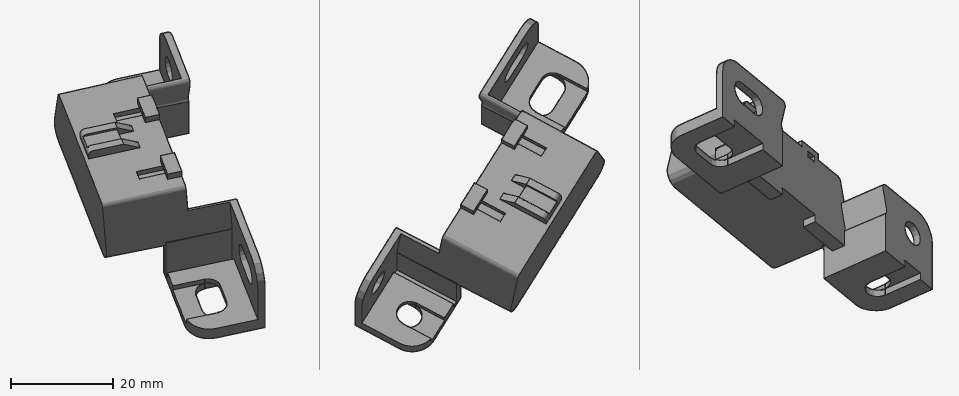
import cadquery as cq
import math


depth = 27.0
wall = 1.3
draft_angle = 0.5
housing_bottom = 7.4
housing_top = 21.7
side_angle = 15
lower_radius = 2.7
upper_radius = 1.1
widest_half_width = 18.65

opening_depth = 10.0
rear_wall_top = 16.25
rear_edge_radius = 1.05

length = 69.1
left_end = -32.4
right_end = left_end + length
plate_thickness = 1.5
bracket_depth = 15.0
foot_thickness = 2.75
corner_radius = 5.0
leg_thickness = 1.65
leg_inner = widest_half_width - leg_thickness
leg_root_radius = 0.7
leg_groove_width = 1.25
leg_groove_floor = 1.4

hole_diameter = 5.0
left_hole_x = -25.9
right_hole_x = 28.1
right_hole_length = 9.1
plate_hole_z = 9.75
foot_hole_y = -8.5
channel_level = 1.6
channel_clearance = 0.1

tab_height = 1.6
tab_depth = 2.9
top_tab_top = 23.1
top_tabs = ((-8.4, -3.05), (7.5, 12.65))
bottom_tabs = ((-leg_inner, -7.4), (3.45, leg_inner))

tab_slot_width = 2.0
tab_slot_depth = wall
tab_slot_front = -18.2
tab_slot_centers = (-6.1, 9.95)

latch_width = 6.1
latch_rib_width = 1.5
latch_top = 23.55
latch_web_top = 23.1
latch_front = -26.2
latch_crest_rear = -19.1
latch_ramp_length = 3.1
latch_nose_radius = 1.05


def box(x_range, y_range, z_range):
    """Axis-aligned block spanning the given ranges."""
    size = [high - low for low, high in (x_range, y_range, z_range)]
    corner = (x_range[0], y_range[0], z_range[0])
    return cq.Workplane("XY").box(*size, centered=False).translate(corner)


def housing_block(offset, reach):
    """Drafted trapezoidal block, inset by offset, running forward from the rear face."""
    angle = math.radians(side_angle)
    slope = math.tan(angle)
    lower_arc_height = lower_radius * (1 + math.sin(angle))
    lower_arc_half_width = widest_half_width - lower_radius * (1 - math.cos(angle))
    bottom = housing_bottom + offset
    top = housing_top - offset
    inset = offset / math.cos(angle)

    def half_width(z):
        return lower_arc_half_width + (housing_bottom + lower_arc_height - z) * slope - inset

    outline = [
        (-half_width(bottom), bottom),
        (half_width(bottom), bottom),
        (half_width(top), top),
        (-half_width(top), top),
    ]
    block = cq.Workplane("XZ").polyline(outline).close().extrude(reach, taper=draft_angle)
    block = block.edges("not #Y").edges("<Z").fillet(lower_radius - offset)
    if offset < upper_radius:
        block = block.edges("not #Y").edges(">Z").fillet(upper_radius - offset)
    return block


def leg(side):
    """Vertical wall below the housing side, with a rounded inner root under the housing."""
    leg_top = housing_bottom + lower_radius
    root_z = housing_bottom + wall / 2
    arc_mid = leg_root_radius * (1 - math.sqrt(0.5))
    profile = (
        cq.Workplane("XZ")
        .moveTo(side * widest_half_width, 0)
        .lineTo(side * leg_inner, 0)
        .lineTo(side * leg_inner, housing_bottom - leg_root_radius)
        .threePointArc(
            (side * (leg_inner - arc_mid), housing_bottom - arc_mid),
            (side * (leg_inner - leg_root_radius), housing_bottom),
        )
        .lineTo(side * (leg_inner - leg_root_radius), root_z)
        .lineTo(side * leg_inner, leg_top)
        .lineTo(side * widest_half_width, leg_top)
        .close()
    )
    return profile.extrude(bracket_depth)


def hole_outline(plane, center, hole_length):
    """Round hole, or a slot along X when the length exceeds the diameter."""
    sketch = cq.Workplane(plane).center(*center)
    if hole_length > hole_diameter:
        return sketch.slot2D(hole_length, hole_diameter)
    return sketch.circle(hole_diameter / 2)


def bracket(side, outer_end, hole_x, hole_length):
    """Leg, foot and back plate on one side, with their holes."""
    x_range = sorted((outer_end, side * leg_inner))
    outer = "<X" if side < 0 else ">X"

    plate = box(x_range, (-plate_thickness, 0), (0, rear_wall_top))
    plate = plate.edges("|Y").edges(">Z").edges(outer).fillet(corner_radius)
    plate = plate.cut(hole_outline("XZ", (hole_x, plate_hole_z), hole_length).extrude(plate_thickness))

    foot = box(x_range, (-bracket_depth, 0), (0, foot_thickness))
    foot = foot.edges("|Z").edges("<Y").edges(outer).fillet(corner_radius)
    foot = foot.cut(hole_outline("XY", (hole_x, foot_hole_y), hole_length).extrude(foot_thickness))

    groove_x = sorted((side * widest_half_width, side * (widest_half_width + leg_groove_width)))
    foot = foot.cut(box(groove_x, (-bracket_depth, -plate_thickness), (leg_groove_floor, foot_thickness)))

    channel_half = hole_length / 2 + channel_clearance
    channel_x = (hole_x - channel_half, hole_x + channel_half)
    front_channel = box(channel_x, (-bracket_depth, foot_hole_y), (channel_level, foot_thickness))
    rear_channel = box(channel_x, (foot_hole_y, 0), (0, channel_level))
    return foot.cut(front_channel).union(plate).cut(rear_channel).union(leg(side))


def latch():
    """Two ramped ribs with rounded noses, joined by a lower web."""
    base = housing_top - wall / 2
    ramp_slope = (latch_top - housing_top) / latch_ramp_length
    ramp_foot_y = latch_crest_rear + (latch_top - base) / ramp_slope
    profile = [
        (latch_front, base),
        (latch_front, latch_top),
        (latch_crest_rear, latch_top),
        (ramp_foot_y, base),
    ]
    half = latch_width / 2
    body = cq.Workplane("YZ").workplane(offset=-half).polyline(profile).close().extrude(latch_width)
    body = body.edges("|X").edges(">Z").edges("<Y").fillet(latch_nose_radius)
    web_half = half - latch_rib_width
    gap = (-web_half, web_half)
    body = body.cut(box(gap, (latch_front, ramp_foot_y), (latch_web_top, latch_top)))
    return body.cut(box(gap, (latch_crest_rear, ramp_foot_y), (base, latch_web_top)))


result = housing_block(0, depth)
result = result.union(bracket(-1, left_end, left_hole_x, hole_diameter))
result = result.union(bracket(1, right_end, right_hole_x, right_hole_length))

result = result.cut(housing_block(wall, opening_depth))
opening_y = (-opening_depth, 0)
result = result.cut(
    box((-widest_half_width, widest_half_width), opening_y, (rear_wall_top, housing_top))
)
result = result.cut(box((-leg_inner, leg_inner), opening_y, (0, housing_bottom + lower_radius)))

rim_middle = cq.selectors.BoxSelector(
    (-leg_inner + wall / 2, -opening_depth, rear_wall_top - rear_edge_radius),
    (leg_inner - wall / 2, 0, rear_wall_top + rear_edge_radius),
)
result = result.edges(rim_middle).edges("not |X").fillet(rear_edge_radius)

tab_y = (-opening_depth - tab_depth, -opening_depth)
for tab_x in top_tabs:
    result = result.union(box(tab_x, tab_y, (housing_top - wall / 2, top_tab_top)))
for tab_x in bottom_tabs:
    result = result.union(box(tab_x, tab_y, (housing_bottom - tab_height, housing_bottom + wall / 2)))

for slot_x in tab_slot_centers:
    slot_range = (slot_x - tab_slot_width / 2, slot_x + tab_slot_width / 2)
    slot_z = (housing_top - tab_slot_depth, housing_top)
    result = result.cut(box(slot_range, (tab_slot_front, -opening_depth), slot_z))

result = result.union(latch())